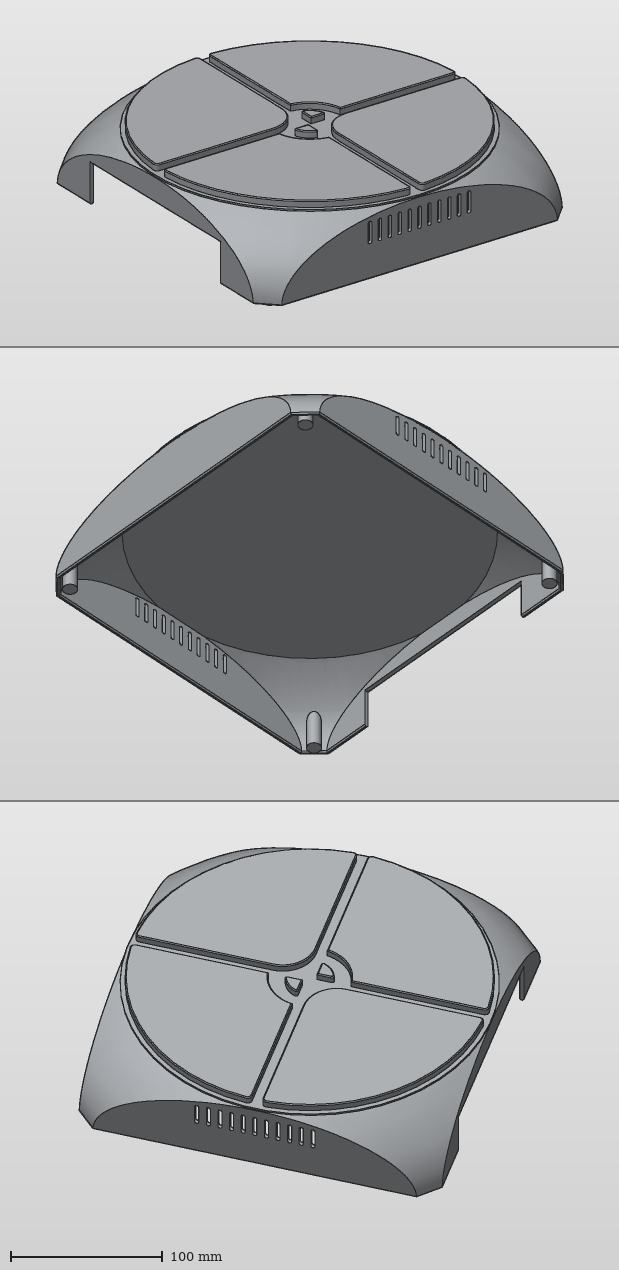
import cadquery as cq
import math

SIDE = 250.0
HALF = SIDE / 2
TOTAL_HEIGHT = 57.8
FOOT_HEIGHT = 2.0
SHELL_HEIGHT = 49.5
ARCH_HEIGHT = 49.0
WALL = 3.0
CORNER_CUT = 13.5
RIM_CHAMFER = 1.0

DOME_RADIUS = math.hypot(HALF, HALF - CORNER_CUT)
DOME_HEIGHT = ARCH_HEIGHT / math.sqrt(1 - (HALF / DOME_RADIUS) ** 2)

DISC_THICKNESS = 1.2
DISC_TOP = SHELL_HEIGHT + DISC_THICKNESS

PAD_HEIGHT = TOTAL_HEIGHT - FOOT_HEIGHT - DISC_TOP
PAD_RADIUS = 121.8
PAD_START = 3.8
PAD_CHAMFER = 0.8
PAD_CORNER_RADIUS = 3.0
HUB_RADIUS = 27.5
HUB_CORNER_RADIUS = 23.0
KNOB_RADIUS = 16.2
KNOB_CORNER_RADIUS = 1.5

FOOT_DIAMETER = 10.0
FOOT_OFFSET = 111.8

OPENING_WIDTH = 148.5
OPENING_HEIGHT = 31.2

VENT_COUNT = 11
VENT_PITCH = 8.0
VENT_WIDTH = 2.8
VENT_LENGTH = 16.2
VENT_CENTER_Z = 34.0


def domed_block(inset):
    """Square block with domed corners, its sides and top moved inward by inset."""
    radius = DOME_RADIUS - inset
    dome_height = DOME_HEIGHT - inset
    height = SHELL_HEIGHT - inset
    top_angle = math.degrees(math.asin(height / dome_height))
    dome = (
        cq.Workplane("XZ")
        .lineTo(radius, 0)
        .ellipseArc(radius, dome_height, 0, top_angle, startAtCurrent=True)
        .lineTo(0, height)
        .close()
        .revolve(360, (0, 0, 0), (0, 1, 0))
    )
    side = SIDE - 2 * inset
    return cq.Workplane("XY").rect(side, side).extrude(height).intersect(dome)


def foot_cylinders(bottom, height):
    """The four foot-sized cylinders near the corners."""
    spacing = 2 * FOOT_OFFSET
    return (
        cq.Workplane("XY", origin=(0, 0, bottom))
        .rarray(spacing, spacing, 2, 2)
        .circle(FOOT_DIAMETER / 2)
        .extrude(height)
    )


def make_shell():
    """Open-bottomed shell with corner posts, its bottom rim chamfered inside and outside."""
    cavity = domed_block(WALL).cut(foot_cylinders(0, SHELL_HEIGHT))
    shell = domed_block(0).cut(cavity)
    rim = cq.selectors.AreaNthSelector(-1)
    return shell.faces("<Z").faces(rim).chamfer(RIM_CHAMFER)


def make_opening():
    """Cutter for the rectangular opening in the -Y wall."""
    return (
        cq.Workplane("XY", origin=(0, -HALF, 0))
        .box(OPENING_WIDTH, 2 * WALL, OPENING_HEIGHT, centered=(True, True, False))
    )


def make_vents():
    """Cutter for the row of upright slots running through both X walls."""
    return (
        cq.Workplane("YZ", origin=(-HALF, 0, VENT_CENTER_Z))
        .rarray(VENT_PITCH, 2.5, VENT_COUNT, 1)
        .slot2D(VENT_LENGTH, VENT_WIDTH, 90)
        .extrude(SIDE)
    )


def quadrant(radius):
    """Quarter disc of pad height in the +X +Y quadrant, set back from both axes."""
    reach = math.sqrt(radius ** 2 - PAD_START ** 2)
    diagonal = radius * math.sqrt(0.5)
    return (
        cq.Workplane("XY", origin=(0, 0, DISC_TOP))
        .moveTo(PAD_START, PAD_START)
        .lineTo(reach, PAD_START)
        .threePointArc((diagonal, diagonal), (PAD_START, reach))
        .close()
        .extrude(PAD_HEIGHT)
    )


def round_outer_corners(solid, radius):
    """Round the two upright edges at the ends of a quadrant's outer arc."""
    return solid.edges("|Z").edges(">X or >Y").fillet(radius)


def chamfer_top(solid):
    return solid.faces(">Z").chamfer(PAD_CHAMFER)


def add_pads(body):
    """Two round-cornered pads, and between them two scooped pads with knobs."""
    pad = round_outer_corners(quadrant(PAD_RADIUS), PAD_CORNER_RADIUS)
    inner_edge = cq.selectors.NearestToPointSelector((PAD_START, PAD_START, DISC_TOP))
    round_pad = chamfer_top(pad.edges("|Z").edges(inner_edge).fillet(HUB_CORNER_RADIUS))
    scooped_pad = chamfer_top(pad.cut(quadrant(HUB_RADIUS)))
    knob = chamfer_top(round_outer_corners(quadrant(KNOB_RADIUS), KNOB_CORNER_RADIUS))
    for piece, first_angle in ((round_pad, 0), (scooped_pad, 90), (knob, 90)):
        for angle in (first_angle, first_angle + 180):
            body = body.union(piece.rotate((0, 0, 0), (0, 0, 1), angle))
    return body


shell = make_shell().cut(make_opening()).cut(make_vents())
disc = cq.Workplane("XY", origin=(0, 0, SHELL_HEIGHT)).circle(HALF).extrude(DISC_THICKNESS)
feet = foot_cylinders(-FOOT_HEIGHT, FOOT_HEIGHT)

result = add_pads(shell.union(disc).union(feet))